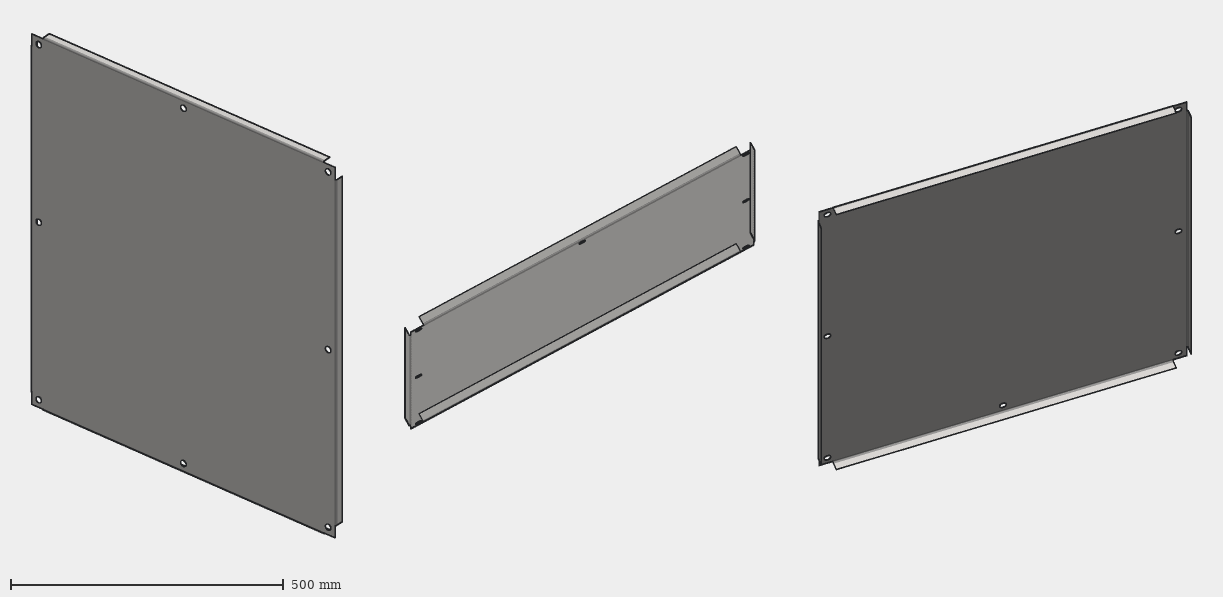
import cadquery as cq

width = 724.0
height = 813.0
depth = 19.0

sheet = 1.5
bend_inner_radius = sheet
bend_outer_radius = bend_inner_radius + sheet

flange_setback = 30.0

corner_inset = bend_outer_radius

hole_diameter = 13.0
hole_edge_distance = 19.5


def flat_plate():
    """Flat sheet with its front face on Y = 0."""
    return cq.Workplane("XY").box(
        width - 2 * corner_inset,
        sheet,
        height - 2 * corner_inset,
        centered=(True, False, True),
    )


def top_flange(length, edge):
    """Flange along X, folded toward +Y, with its outer face at Z = edge."""
    bend_start = edge - bend_outer_radius
    profile = (
        cq.Workplane("YZ")
        .moveTo(0, bend_start)
        .radiusArc((bend_outer_radius, edge), bend_outer_radius)
        .lineTo(depth, edge)
        .lineTo(depth, edge - sheet)
        .lineTo(bend_outer_radius, edge - sheet)
        .radiusArc((sheet, bend_start), -bend_inner_radius)
        .close()
    )
    return profile.extrude(length / 2, both=True)


def fold_flanges(plate):
    """Add flanges to all four edges by turning them about the Y axis."""
    horizontal = top_flange(width - 2 * flange_setback, height / 2)
    vertical = top_flange(height - 2 * flange_setback, width / 2)
    for flange, angles in ((horizontal, (0, 180)), (vertical, (90, 270))):
        for angle in angles:
            plate = plate.union(flange.rotate((0, 0, 0), (0, 1, 0), angle))
    return plate


def mounting_holes():
    """Pins for the corner and mid-edge holes, leaving the panel centre solid."""
    x_offset = width / 2 - hole_edge_distance
    z_offset = height / 2 - hole_edge_distance
    centres = [
        (column * x_offset, row * z_offset)
        for column in (-1, 0, 1)
        for row in (-1, 0, 1)
        if (column, row) != (0, 0)
    ]
    return cq.Workplane("XZ").pushPoints(centres).circle(hole_diameter / 2).extrude(-sheet)


result = fold_flanges(flat_plate()).cut(mounting_holes())